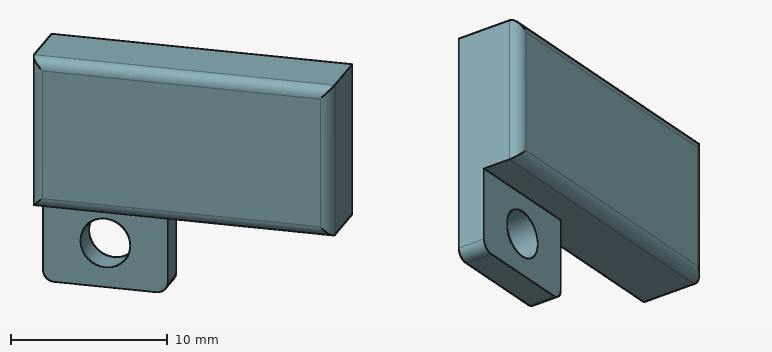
import cadquery as cq

block_width = 20.0
block_depth = 4.75
total_height = 16.1
block_height = 10.2
front_edge_radius = 0.75

tab_width = 8.3
tab_thickness = 2.0
tab_height = total_height - block_height
tab_corner_radius = 0.75
hole_diameter = 3.3
hole_drop = 2.9


def make_block():
    """Block with its bottom left back corner at the origin and a rounded front rim."""
    block = cq.Workplane("XY").box(block_width, block_depth, block_height, centered=False)
    block = block.translate((0, -block_depth, 0))
    return block.faces("<Y").edges().fillet(front_edge_radius)


def make_tab():
    """Plate with rounded lower corners and a through hole on its centre line."""
    tab = cq.Workplane("XY").box(tab_width, tab_thickness, tab_height, centered=False)
    tab = tab.translate((0, -tab_thickness, -tab_height))
    tab = tab.faces("<Z").edges("|Y").fillet(tab_corner_radius)
    hole = (
        cq.Workplane("XZ")
        .center(tab_width / 2, -hole_drop)
        .circle(hole_diameter / 2)
        .extrude(tab_thickness)
    )
    return tab.cut(hole)


result = make_block().union(make_tab())